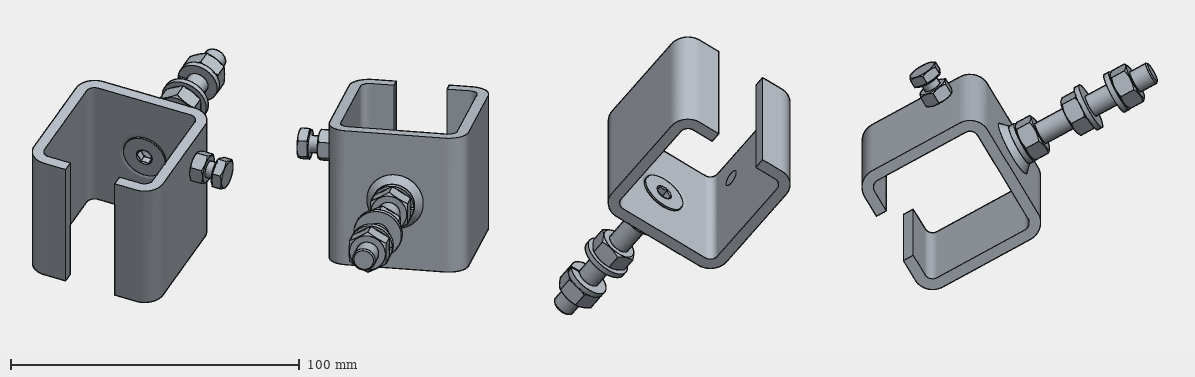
import cadquery as cq
import math


channel_side = 49.1
channel_height = 50.0
wall = 4.0
bend_radius = 7.0
lip_gap = 18.7
inner_side = channel_side - 2 * wall
back_inner_y = channel_side - wall

boss_height = 2.6
boss_top_diameter = 14.7
boss_base_diameter = boss_top_diameter + 2 * boss_height
mouth_diameter = 19.4

stud_diameter = 8.0
stud_tip_y = 105
stud_tip_chamfer = 0.5
head_diameter = 16.0
head_cone_depth = (head_diameter - stud_diameter) / 2
mouth_round = (mouth_diameter - head_diameter) / 2 / math.sin(math.pi / 4)
head_rim = mouth_round * (1 - math.cos(math.pi / 4))
socket_width = 5.0
socket_depth = 3.0
socket_edge_diameter = 6.1
drill_tip_angle = 120

stud_nut_width = 13.0
stud_nut_height = 6.5
spring_washer_diameter = 14.9
spring_washer_thickness = 2.0
spring_washer_split = 0.6
spring_washer_split_rise = 0.5
flat_washer_diameter = 16.8
flat_washer_thickness = 1.9
middle_nut_y = 71.9
outer_washer_y = 89.7
inner_washer_y = channel_side + boss_height

bolt_diameter = 6.0
bolt_y = 34.0
bolt_z = 13.0
bolt_overhang = 12.2
bolt_head_height = 4.0
bolt_washer_face = 0.4
bolt_washer_face_diameter = 9.9
bolt_neck_fillet = 0.5
bolt_hex_width = 10.0
side_nut_height = 5.0

hex_chamfer_angle = 30
hex_face_ratio = 0.97


def revolve_profile(points):
    """Revolve (radius, height) points around the local Z axis."""
    return cq.Workplane("XZ").polyline(points).close().revolve(360, (0, 0), (0, 1))


def hexagon(width, height):
    """Hexagonal prism on Z = 0 with two corners on the Y axis."""
    prism = cq.Workplane("XY").polygon(6, width / math.cos(math.pi / 6)).extrude(height)
    return prism.rotate((0, 0, 0), (0, 0, 1), 90)


def chamfered_hexagon(width, height, chamfer_bottom):
    """Hexagonal prism with conically chamfered corners on top and, if asked, at the bottom."""
    face_radius = hex_face_ratio * width / 2
    outer_radius = width
    drop = (outer_radius - face_radius) * math.tan(math.radians(hex_chamfer_angle))
    top_cone = revolve_profile([(0, -drop), (outer_radius, -drop), (outer_radius, height - drop),
                                (face_radius, height), (0, height)])
    body = hexagon(width, height).intersect(top_cone)
    if chamfer_bottom:
        body = body.intersect(top_cone.mirror("XY").translate((0, 0, height)))
    return body


def along_y(body, y):
    """Turn a body from the Z axis onto the stud axis, its base at y."""
    return body.rotate((0, 0, 0), (1, 0, 0), -90).translate((0, y, 0))


def along_x(body, x):
    """Turn a body from the Z axis onto the side bolt axis, its base at x."""
    turned = body.rotate((0, 0, 0), (0, 0, 1), 90).rotate((0, 0, 0), (0, 1, 0), 90)
    return turned.translate((x, bolt_y, bolt_z))


def rounded_square(side, radius):
    """Upright square block with rounded corners, centred on the channel."""
    block = cq.Workplane("XY").box(side, side, channel_height).edges("|Z").fillet(radius)
    return block.translate((0, channel_side / 2, 0))


def make_channel():
    body = rounded_square(channel_side, bend_radius)
    body = body.cut(rounded_square(inner_side, bend_radius - wall))
    body = body.cut(cq.Workplane("XY").box(lip_gap, 2 * wall, channel_height))
    boss = revolve_profile([(0, 0), (boss_base_diameter / 2, 0),
                            (boss_top_diameter / 2, boss_height), (0, boss_height)])
    body = body.union(along_y(boss, channel_side))
    hole_radius = stud_diameter / 2
    stud_hole = (cq.Workplane("XZ")
                 .lineTo(mouth_diameter / 2, 0)
                 .radiusArc((head_diameter / 2, head_rim), mouth_round)
                 .lineTo(hole_radius, head_rim + head_cone_depth)
                 .lineTo(hole_radius, wall + boss_height)
                 .lineTo(0, wall + boss_height)
                 .close().revolve(360, (0, 0), (0, 1)))
    body = body.cut(along_y(stud_hole, back_inner_y))
    bolt_hole = cq.Workplane("XY").circle(bolt_diameter / 2).extrude(wall)
    return body.cut(along_x(bolt_hole, inner_side / 2))


def make_stud():
    length = stud_tip_y - back_inner_y
    shank_radius = stud_diameter / 2
    head_radius = head_diameter / 2
    body = revolve_profile([(0, 0), (head_radius, 0), (head_radius, head_rim),
                            (shank_radius, head_rim + head_cone_depth),
                            (shank_radius, length - stud_tip_chamfer),
                            (shank_radius - stud_tip_chamfer, length), (0, length)])
    socket = hexagon(socket_width, socket_depth).rotate((0, 0, 0), (0, 0, 1), 90)
    edge_radius = socket_edge_diameter / 2
    socket_edge = revolve_profile([(0, 0), (edge_radius, 0), (0, edge_radius)])
    drill_radius = socket_width / 2
    drill_depth = drill_radius / math.tan(math.radians(drill_tip_angle / 2))
    drill_tip = revolve_profile([(0, socket_depth), (drill_radius, socket_depth),
                                 (0, socket_depth + drill_depth)])
    body = body.cut(socket).cut(socket_edge).cut(drill_tip)
    return along_y(body, back_inner_y)


def make_nut(width, height, bore):
    body = chamfered_hexagon(width, height, chamfer_bottom=True)
    return body.cut(cq.Workplane("XY").circle(bore / 2).extrude(height))


def make_flat_washer():
    return cq.Workplane("XY").circle(flat_washer_diameter / 2).circle(stud_diameter / 2).extrude(
        flat_washer_thickness)


def make_spring_washer():
    """Ring with a slanted split on its -X side."""
    radius = spring_washer_diameter / 2
    ring = cq.Workplane("XY").circle(radius).circle(stud_diameter / 2).extrude(spring_washer_thickness)
    half_split = spring_washer_split / 2
    half_rise = spring_washer_split_rise / 2
    split = (cq.Workplane("YZ")
             .polyline([(-half_split - half_rise, 0), (half_split - half_rise, 0),
                        (half_split + half_rise, spring_washer_thickness),
                        (-half_split + half_rise, spring_washer_thickness)])
             .close().extrude(-radius))
    return ring.cut(split)


def make_side_bolt():
    shank_length = wall + bolt_overhang - bolt_head_height
    shank_radius = bolt_diameter / 2
    neck_radius = shank_radius + bolt_neck_fillet
    face_radius = bolt_washer_face_diameter / 2
    face_top = shank_length + bolt_washer_face
    neck_start = shank_length - bolt_neck_fillet
    shank = (cq.Workplane("XZ")
             .lineTo(shank_radius, 0)
             .lineTo(shank_radius, neck_start)
             .radiusArc((neck_radius, shank_length), bolt_neck_fillet)
             .lineTo(face_radius, shank_length)
             .lineTo(face_radius, face_top)
             .lineTo(0, face_top)
             .close().revolve(360, (0, 0), (0, 1)))
    head = chamfered_hexagon(bolt_hex_width, bolt_head_height - bolt_washer_face, chamfer_bottom=False)
    return along_x(shank.union(head.translate((0, 0, face_top))), inner_side / 2)


channel = make_channel()
stud = make_stud()
side_bolt = make_side_bolt()
side_nut = along_x(make_nut(bolt_hex_width, side_nut_height, bolt_diameter), channel_side / 2)
flat_washer = along_y(make_flat_washer(), middle_nut_y + stud_nut_height)

spring_washers = [along_y(make_spring_washer(), y) for y in (inner_washer_y, outer_washer_y)]

stud_nut_positions = [
    inner_washer_y + spring_washer_thickness,
    middle_nut_y,
    outer_washer_y + spring_washer_thickness,
]
stud_nuts = [along_y(make_nut(stud_nut_width, stud_nut_height, stud_diameter), y) for y in stud_nut_positions]

result = cq.Compound.makeCompound([
    channel.val(),
    stud.val(),
    side_bolt.val(),
    side_nut.val(),
    flat_washer.val(),
    *[washer.val() for washer in spring_washers],
    *[nut.val() for nut in stud_nuts],
])